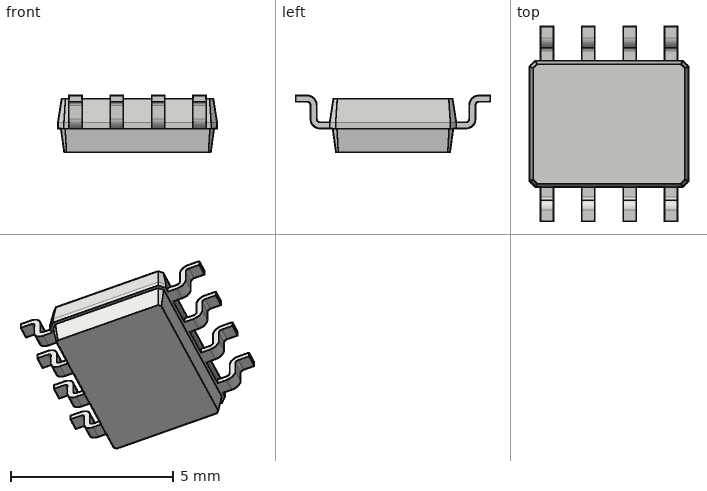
import cadquery as cq
import math


body_length = 4.9
body_width = 3.9
lead_span = 6.0
total_height = 1.75

standoff = 0.1
band_bottom = 0.73
band_height = 0.2
corner_cut = 0.185
step_inset = 0.09
upper_draft = 0.115
lower_draft = 0.1

leads_per_side = 4
lead_pitch = 1.27
lead_width = 0.41
lead_thickness = band_height
bend_outer_radius = 0.3
riser_outer_y = 2.545
lead_embed = 0.18

body_top = total_height - standoff
band_top = band_bottom + band_height
lead_root_y = body_width / 2 - lead_embed


def body_outline(workplane, inset):
    """Draw the chamfered rectangle of the band, offset inward evenly on all eight sides."""
    half_x = body_length / 2 - inset
    half_y = body_width / 2 - inset
    cut = corner_cut - inset * (2 - math.sqrt(2))
    return workplane.polyline([
        (half_x, half_y - cut),
        (half_x - cut, half_y),
        (cut - half_x, half_y),
        (-half_x, half_y - cut),
        (-half_x, cut - half_y),
        (cut - half_x, -half_y),
        (half_x - cut, -half_y),
        (half_x, cut - half_y),
    ]).close()


def body_layer(z_start, z_end, inset_start, inset_end):
    """Straight or drafted slab of the body between two heights."""
    lower_edge = body_outline(cq.Workplane("XY").workplane(offset=z_start), inset_start)
    both_edges = body_outline(lower_edge.workplane(offset=z_end - z_start), inset_end)
    return both_edges.loft(ruled=True)


def make_body():
    lower = body_layer(0, band_bottom, step_inset + lower_draft, step_inset)
    band = body_layer(band_bottom, band_top, 0, 0)
    upper = body_layer(band_top, body_top, 0, upper_draft)
    return lower.union(band).union(upper)


def make_lead():
    """One lead on the +Y side, centred on X = 0: shank, upright riser and outward foot."""
    tip_y = lead_span / 2
    riser_inner_y = riser_outer_y - lead_thickness
    foot_bottom = total_height - lead_thickness
    bend_inner_radius = bend_outer_radius - lead_thickness

    lead = (
        cq.Workplane("YZ")
        .moveTo(lead_root_y, band_bottom)
        .lineTo(riser_outer_y, band_bottom)
        .lineTo(riser_outer_y, foot_bottom)
        .lineTo(tip_y, foot_bottom)
        .lineTo(tip_y, total_height)
        .lineTo(riser_inner_y, total_height)
        .lineTo(riser_inner_y, band_top)
        .lineTo(lead_root_y, band_top)
        .close()
        .extrude(lead_width / 2, both=True)
    )

    def bend_edge(y, z):
        return cq.selectors.NearestToPointSelector((0, y, z))

    for y, z, radius in [
        (riser_outer_y, band_bottom, bend_outer_radius),
        (riser_inner_y, total_height, bend_outer_radius),
        (riser_outer_y, foot_bottom, bend_inner_radius),
        (riser_inner_y, band_top, bend_inner_radius),
    ]:
        lead = lead.edges("|X").edges(bend_edge(y, z)).fillet(radius)
    return lead


result = make_body()
back_lead = make_lead()
front_lead = back_lead.mirror("XZ")
for index in range(leads_per_side):
    lead_x = (index - (leads_per_side - 1) / 2) * lead_pitch
    result = result.union(back_lead.translate((lead_x, 0, 0)))
    result = result.union(front_lead.translate((lead_x, 0, 0)))